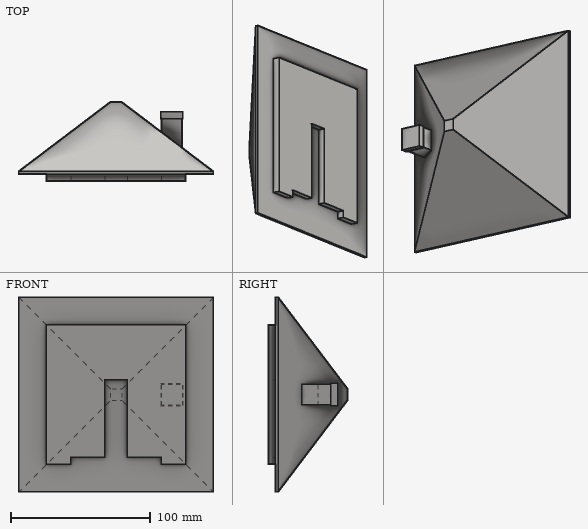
import cadquery as cq

eave_size = 140.0
eave_thickness = 2.0
roof_height = 50.0
roof_top_size = 8.0

wall_size = 100.0
wall_height = 5.0
foot_width = 17.5
recess_depth = 5.0
slot_width = 16.0
slot_depth = 55.5

chimney_x = 40.0
chimney_size = 15.0
cap_size = 16.0
cap_height = 5.0
cap_drop = 7.0

eave_bottom = wall_height
roof_base = eave_bottom + eave_thickness
roof_top = roof_base + roof_height
cap_top = roof_top - cap_drop
cap_base = cap_top - cap_height


def block(size, start, end, x=0.0):
    """Square block centred on Z = 0, spanning start to end along Y."""
    return cq.Workplane("XY").box(size, end - start, size).translate((x, (start + end) / 2, 0))


def make_roof():
    """Eave slab with the truncated pyramid above it."""
    slope = (
        cq.Workplane("XZ", origin=(0, roof_base, 0))
        .rect(eave_size, eave_size)
        .workplane(offset=-roof_height)
        .rect(roof_top_size, roof_top_size)
        .loft(ruled=True)
    )
    return block(eave_size, eave_bottom, roof_base).union(slope)


def make_walls():
    """Wall block with a recessed -Z side and a slot in its middle."""
    half_wall = wall_size / 2
    half_slot = slot_width / 2
    recess_x = half_wall - foot_width
    recess_z = -half_wall + recess_depth
    slot_end_z = recess_z + slot_depth
    outline = [
        (-half_wall, half_wall),
        (-half_wall, -half_wall),
        (-recess_x, -half_wall),
        (-recess_x, recess_z),
        (-half_slot, recess_z),
        (-half_slot, slot_end_z),
        (half_slot, slot_end_z),
        (half_slot, recess_z),
        (recess_x, recess_z),
        (recess_x, -half_wall),
        (half_wall, -half_wall),
        (half_wall, half_wall),
    ]
    return cq.Workplane("XZ").polyline(outline).close().extrude(-wall_height)


def make_chimney():
    """Square stack rising from inside the roof, with a wider cap."""
    stack = block(chimney_size, roof_base, cap_base, chimney_x)
    cap = block(cap_size, cap_base, cap_top, chimney_x)
    return stack.union(cap)


result = make_roof().union(make_walls()).union(make_chimney())